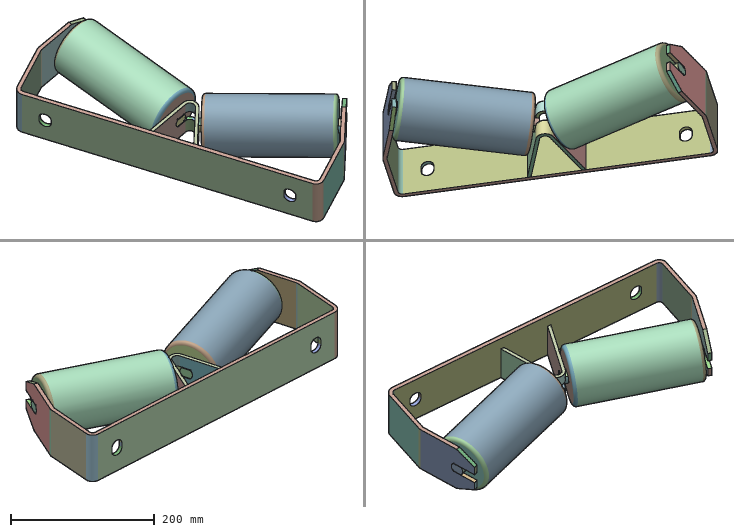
import cadquery as cq
import math

bracket_width = 460.0
bracket_thickness = 6.0
strip_height = 80.0
bend_radius = 12.0
lean_angle = 20.0
lean_start = 87.5
arm_tip = 176.5
tip_chamfer_length = 31.0
tip_chamfer_height = 17.0

mount_slot_spacing = 367.0
mount_slot_width = 18.0
mount_slot_height = 25.0

saddle_thickness = 5.0
saddle_height = 59.0
saddle_top = 95.5
arch_radius = 13.0

shaft_diameter = 20.0
shaft_flats = 14.3
shaft_slot_width = 16.0
axis_outer_y = 148.0
axis_tilt = 2.0

roller_diameter = 89.0
roller_length = 189.5
roller_saddle_gap = 5.0
roller_edge_radius = 5.0

lean = math.radians(lean_angle)
tilt = math.radians(axis_tilt)
half_width = bracket_width / 2
sin_lean = math.sin(lean)
cos_lean = math.cos(lean)
tan_lean = math.tan(lean)
bend_inner_radius = bend_radius - bracket_thickness
shaft_radius = shaft_diameter / 2

arch_center_y = saddle_top - arch_radius
arm_tip_x = -half_width + (arm_tip - lean_start) * tan_lean

axis_start = cq.Vector(-half_width + (axis_outer_y - lean_start) * tan_lean, axis_outer_y, 0)

saddle_outer_offset = -arch_center_y * sin_lean - arch_radius
axis_start_offset = axis_start.x * cos_lean - axis_start.y * sin_lean
clear_span = saddle_outer_offset - axis_start_offset - bracket_thickness
shaft_length = (bracket_thickness + clear_span + saddle_thickness) / math.cos(tilt)
roller_start = (bracket_thickness + clear_span) / math.cos(tilt) - roller_saddle_gap - roller_length

roller_plane = cq.Plane(
    origin=axis_start,
    xDir=(-sin_lean, -cos_lean, 0),
    normal=(cos_lean * math.cos(tilt), -sin_lean * math.cos(tilt), -math.sin(tilt)),
)


def mirrored(body):
    return body.mirror("YZ")


def shaft_slot(start, depth, reach):
    """Cutter along the left roller axis: closed end round the shaft, open end away from the base."""
    start_plane = cq.Workplane(roller_plane).workplane(offset=start)
    round_end = start_plane.circle(shaft_radius).extrude(depth)
    round_end = round_end.intersect(start_plane.rect(shaft_diameter, shaft_slot_width).extrude(depth))
    channel = start_plane.center(-reach / 2, 0).rect(reach, shaft_slot_width).extrude(depth)
    return channel.union(round_end)


def round_bends(blank, corners, radius):
    """Round the upright edges at the given left corners and at their mirror images."""
    reach = bracket_thickness / 4
    for x, y in corners + [(-x, y) for x, y in corners]:
        around_corner = cq.selectors.BoxSelector(
            (x - reach, y - reach, -strip_height), (x + reach, y + reach, strip_height))
        blank = blank.edges("|Z").edges(around_corner).fillet(radius)
    return blank


def bracket_blank():
    miter_drop = bracket_thickness * math.tan(lean / 2)
    left_outer = [(-half_width, 0), (-half_width, lean_start), (arm_tip_x, arm_tip)]
    left_inner = [
        (arm_tip_x + bracket_thickness * cos_lean, arm_tip - bracket_thickness * sin_lean),
        (-half_width + bracket_thickness, lean_start - miter_drop),
        (-half_width + bracket_thickness, bracket_thickness),
    ]
    left_side = left_outer + left_inner
    right_side = [(-x, y) for x, y in reversed(left_side)]
    blank = cq.Workplane("XY").polyline(left_side + right_side).close().extrude(strip_height / 2, both=True)

    outer_bends = left_outer[:2]
    inner_bends = left_inner[1:]
    blank = round_bends(blank, outer_bends, bend_radius)
    return round_bends(blank, inner_bends, bend_inner_radius)


def arm_tip_corners():
    """Wedges that cut the top and bottom corners off the left arm's tip."""
    arm_plane = cq.Plane(
        origin=(arm_tip_x, arm_tip, 0), xDir=(-sin_lean, -cos_lean, 0), normal=(cos_lean, -sin_lean, 0))
    half_height = strip_height / 2
    upper = (
        cq.Workplane(arm_plane)
        .polyline([
            (0, half_height),
            (tip_chamfer_length, half_height),
            (0, half_height - tip_chamfer_height),
        ])
        .close()
        .extrude(2 * bracket_thickness, both=True)
    )
    return upper.union(upper.mirror("XY"))


def mount_slots():
    return (
        cq.Workplane("XZ")
        .pushPoints([(-mount_slot_spacing / 2, 0), (mount_slot_spacing / 2, 0)])
        .slot2D(mount_slot_height, mount_slot_width, 90)
        .extrude(-bracket_thickness)
    )


def make_bracket():
    slot_reach = (arm_tip - axis_outer_y) / cos_lean + shaft_diameter
    arm_slot = shaft_slot(-bracket_thickness, 3 * bracket_thickness, slot_reach)
    arm_cut = arm_tip_corners().union(arm_slot)
    return bracket_blank().cut(mount_slots()).cut(arm_cut).cut(mirrored(arm_cut))


def saddle_edge(radius):
    """Left foot, left tangent point, crown, right tangent point and right foot at one face."""
    tangent_x = radius * cos_lean
    tangent_y = arch_center_y + radius * sin_lean
    foot_x = tangent_x + (tangent_y - bracket_thickness) * tan_lean
    return [
        (-foot_x, bracket_thickness),
        (-tangent_x, tangent_y),
        (0, arch_center_y + radius),
        (tangent_x, tangent_y),
        (foot_x, bracket_thickness),
    ]


def make_saddle():
    outer = saddle_edge(arch_radius)
    inner = saddle_edge(arch_radius - saddle_thickness)
    blank = (
        cq.Workplane("XY")
        .workplane(offset=-strip_height / 2)
        .moveTo(*outer[0])
        .lineTo(*outer[1])
        .threePointArc(outer[2], outer[3])
        .lineTo(*outer[4])
        .lineTo(*inner[4])
        .lineTo(*inner[3])
        .threePointArc(inner[2], inner[1])
        .lineTo(*inner[0])
        .close()
        .extrude(saddle_height)
    )
    slot_start = shaft_length - 2 * saddle_thickness
    slot_depth = 2 * saddle_thickness + arch_radius
    leg_slot = shaft_slot(slot_start, slot_depth, saddle_top / 2)
    return blank.cut(leg_slot).cut(mirrored(leg_slot))


def make_roller(side):
    """Roller on the left (side = -1) or the right (side = 1)."""
    drum = (
        cq.Workplane(roller_plane)
        .workplane(offset=roller_start)
        .circle(roller_diameter / 2)
        .extrude(roller_length)
        .edges("%CIRCLE")
        .fillet(roller_edge_radius)
    )
    flats = cq.Workplane(roller_plane).rect(shaft_diameter, shaft_flats).extrude(shaft_length)
    shaft = cq.Workplane(roller_plane).circle(shaft_radius).extrude(shaft_length).intersect(flats)
    left_roller = drum.union(shaft)
    return left_roller if side < 0 else mirrored(left_roller)


bracket = make_bracket()
saddle = make_saddle()
rollers = [make_roller(side) for side in (-1, 1)]

result = cq.Compound.makeCompound([
    bracket.solids().val(),
    saddle.solids().val(),
    *[roller.solids().val() for roller in rollers],
])